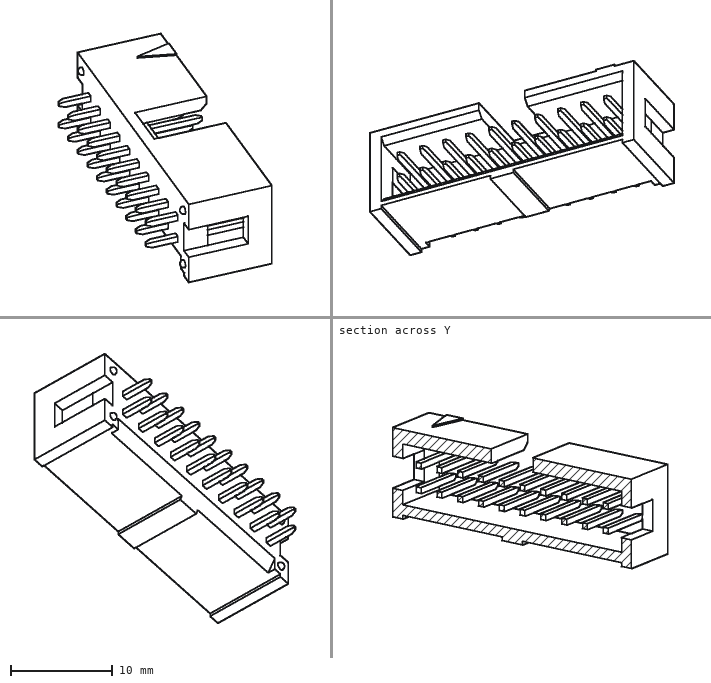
import cadquery as cq


length = 29.2
depth = 8.88
height = 9.3
mid_z = height / 2

end_wall = 1.25
side_wall = 1.52
base_thickness = 2.5
lead_in_depth = 0.65
lead_in_height = 0.67

slot_width = 5.05
slot_base = 1.23

latch_height = 3.27
latch_mouth_offset = 2.55

relief_height = 0.38
key_width = 2.55
bevel_length = 24.92
bevel_height = 1.87
bevel_depth = 1.05

bump_radius = 0.4
bump_inset_x = end_wall
bump_inset_z = 1.45

columns = 10
rows = 2
pitch = 2.55
pin_width = 0.65
pin_tip_width = 0.32
pin_taper = 0.58
tail_length = 3.3

marker_width = 2.05
marker_length = 3.8
marker_height = 0.18

first_pin_x = -pitch * (columns - 1) / 2
first_pin_z = mid_z - pitch * (rows - 1) / 2


def box(x_size, y_start, y_end, z_start, z_end, x_centre=0.0):
    """Block centred on x_centre and spanning the given Y and Z limits."""
    block = cq.Workplane("XY").box(x_size, y_end - y_start, z_end - z_start, centered=(True, False, False))
    return block.translate((x_centre, y_start, z_start))


def prism_along_x(points_yz, x_size):
    """Prism of a Y-Z outline, centred on X = 0."""
    return cq.Workplane("YZ").polyline(points_yz).close().extrude(x_size / 2, both=True)


def cavity():
    """Inner space with a flared lead-in along both long walls."""
    low = side_wall
    high = height - side_wall
    flare_start = depth - lead_in_depth
    outline = [
        (base_thickness, low),
        (flare_start, low),
        (depth, low - lead_in_height),
        (depth, high + lead_in_height),
        (flare_start, high),
        (base_thickness, high),
    ]
    return prism_along_x(outline, length - 2 * end_wall)


def latch_opening(side):
    """Recess in one end, running from the solder face into the cavity."""
    return box(
        end_wall,
        0,
        depth - latch_mouth_offset,
        mid_z - latch_height / 2,
        mid_z + latch_height / 2,
        side * (length - end_wall) / 2,
    )


def underside_relief(side):
    """Shallow step under the housing, between one foot and the central key."""
    relief_length = (length - key_width) / 2 - end_wall
    centre = side * (key_width + relief_length) / 2
    return box(relief_length, 0, depth, 0, relief_height, centre)


def solder_edge_bevel():
    """Sloped cut along the lower edge of the solder face."""
    return prism_along_x([(0, 0), (0, bevel_height), (bevel_depth, 0)], bevel_length)


def housing():
    body = box(length, 0, depth, 0, height)
    body = body.cut(cavity())
    body = body.cut(box(slot_width, slot_base, depth, height - side_wall, height))
    for side in (-1, 1):
        body = body.cut(latch_opening(side))
        body = body.cut(underside_relief(side))
    return body.cut(solder_edge_bevel())


def bump(x, z):
    """Ball half sunk into the solder face, leaving a hemispherical standoff."""
    return cq.Workplane("XY").sphere(bump_radius).translate((x, 0, z))


def pin_tip(y, direction):
    """Tapered end of a pin that starts at y and narrows along direction."""
    plane = cq.Plane(origin=(0, y, 0), xDir=(1, 0, 0), normal=(0, direction, 0))
    base = cq.Workplane(plane).rect(pin_width, pin_width)
    return base.workplane(offset=pin_taper).rect(pin_tip_width, pin_tip_width).loft()


def pin():
    """Square pin on the Y axis, from the solder tail to the mouth of the housing."""
    tail_taper_y = pin_taper - tail_length
    mating_taper_y = depth - pin_taper
    shank = box(pin_width, tail_taper_y, mating_taper_y, -pin_width / 2, pin_width / 2)
    return shank.union(pin_tip(tail_taper_y, -1)).union(pin_tip(mating_taper_y, 1))


def pin_one_marker():
    """Raised triangle on the top face, pointing from the mouth toward pin one."""
    outline = [
        (first_pin_x - marker_width / 2, depth),
        (first_pin_x + marker_width / 2, depth),
        (first_pin_x, depth - marker_length),
    ]
    return cq.Workplane("XY", origin=(0, 0, height)).polyline(outline).close().extrude(marker_height)


result = housing().union(pin_one_marker())

for bump_x in (bump_inset_x - length / 2, length / 2 - bump_inset_x):
    for bump_z in (bump_inset_z, height - bump_inset_z):
        result = result.union(bump(bump_x, bump_z))

single_pin = pin()
for column in range(columns):
    for row in range(rows):
        position = (first_pin_x + column * pitch, 0, first_pin_z + row * pitch)
        result = result.union(single_pin.translate(position))